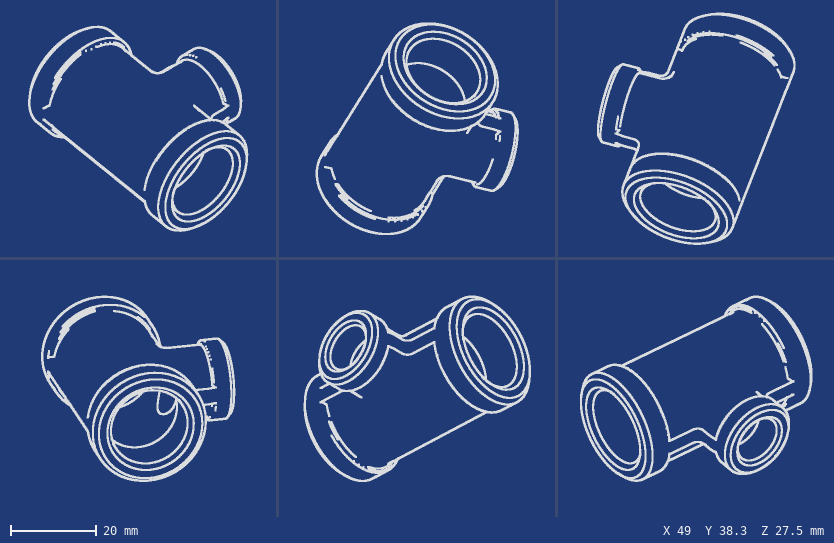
import cadquery as cq

run_length = 49.0
overall_depth = 38.25

run_band_diameter = 27.5
run_body_diameter = 24.9
run_band_length = 6.45
run_thread_diameter = 18.6
run_mouth_diameter = 20.95
run_core_diameter = 21.8
run_thread_length = 11.02
run_rim_chamfer = 1.2

collar_diameter = 19.0
branch_body_diameter = 17.0
collar_length = 4.95
branch_thread_diameter = 11.45
branch_mouth_diameter = 13.2
branch_core_diameter = 13.8
branch_thread_length = 7.65
collar_rim_chamfer = 1.0

rib_thickness = 4.0
branch_rib_diameter = 19.45
branch_rib_taper_length = 1.6

body_crotch_radius = 3.0
rib_crotch_radius = 1.75
edge_radius = 0.35

contact_tolerance = 0.0005

half_run = run_length / 2
branch_reach = overall_depth - run_band_diameter / 2
band_inner_face = half_run - run_band_length
collar_inner_face = branch_reach - collar_length


def run_cylinder(diameter, length):
    """Cylinder along X, centred on the origin."""
    return cq.Workplane("YZ").circle(diameter / 2).extrude(length / 2, both=True)


def branch_cylinder(diameter, start, end):
    """Cylinder along Y between two distances from the run axis."""
    return cq.Workplane("XZ", origin=(0, start, 0)).circle(diameter / 2).extrude(start - end)


def touches(edge, solid):
    """True when the middle of an edge lies on a solid."""
    middle = cq.Vertex.makeVertex(*edge.positionAt(0.5).toTuple())
    return middle.distance(solid.val()) < contact_tolerance


def blend_crotch(run, branch, radius):
    """Join run and branch, rounding the closed curve where they meet."""
    joined = run.union(branch)
    crotch = joined.edges().filter(lambda edge: touches(edge, run) and touches(edge, branch))
    return crotch.fillet(radius)


def body():
    """Plain tee whose ends stop halfway inside the bands and the collar."""
    run = run_cylinder(run_body_diameter, run_length - run_band_length)
    branch = branch_cylinder(branch_body_diameter, 0, branch_reach - collar_length / 2)
    return blend_crotch(run, branch, body_crotch_radius)


def ribs():
    """Slab cut from a larger tee: run ribs flush with the bands, branch ribs tapering to the collar."""
    branch = (
        cq.Workplane("XY")
        .lineTo(branch_rib_diameter / 2, 0)
        .lineTo(branch_rib_diameter / 2, collar_inner_face - branch_rib_taper_length)
        .lineTo(collar_diameter / 2, collar_inner_face)
        .lineTo(collar_diameter / 2, collar_inner_face + edge_radius)
        .lineTo(0, collar_inner_face + edge_radius)
        .close()
        .revolve(360, (0, 0, 0), (0, 1, 0))
    )
    run = run_cylinder(run_band_diameter, 2 * (band_inner_face + edge_radius))
    tee = blend_crotch(run, branch, rib_crotch_radius)
    slab = cq.Workplane("XY").box(2 * run_length, 2 * run_length, rib_thickness)
    return tee.intersect(slab).edges("|X").edges("<Y").fillet(edge_radius)


def bands():
    inner_plane = cq.Workplane("YZ", origin=(band_inner_face, 0, 0))
    blank = inner_plane.circle(run_band_diameter / 2).extrude(run_band_length)
    band = blank.faces(">X").chamfer(run_rim_chamfer).faces("<X").edges().fillet(edge_radius)
    return band.union(band.mirror("YZ"))


def collar():
    blank = branch_cylinder(collar_diameter, collar_inner_face, branch_reach)
    return blank.faces(">Y").chamfer(collar_rim_chamfer).faces("<Y").edges().fillet(edge_radius)


def outside():
    """Body with its ribs, bands and collar, rounded along the foot where they rise from the body."""
    core = body()
    raised = ribs().union(bands()).union(collar())
    joined = core.union(raised)
    foot = joined.edges().filter(lambda edge: touches(edge, core) and touches(edge, raised))
    return foot.fillet(edge_radius)


def bore(thread_diameter, mouth_diameter, core_diameter, thread_length, end):
    """Bore along +Z ending at a height: wide core, threaded length and 45 degree mouth."""
    thread_start = end - thread_length
    mouth_depth = (mouth_diameter - thread_diameter) / 2
    return (
        cq.Workplane("XZ")
        .lineTo(core_diameter / 2, 0)
        .lineTo(core_diameter / 2, thread_start)
        .lineTo(thread_diameter / 2, thread_start)
        .lineTo(thread_diameter / 2, end - mouth_depth)
        .lineTo(mouth_diameter / 2, end)
        .lineTo(0, end)
        .close()
        .revolve(360, (0, 0, 0), (0, 1, 0))
    )


def bores():
    run_bore = bore(run_thread_diameter, run_mouth_diameter, run_core_diameter, run_thread_length, half_run)
    branch_bore = bore(
        branch_thread_diameter, branch_mouth_diameter, branch_core_diameter, branch_thread_length, branch_reach
    )
    right_bore = run_bore.rotate((0, 0, 0), (0, 1, 0), 90)
    left_bore = run_bore.rotate((0, 0, 0), (0, 1, 0), -90)
    return right_bore.union(left_bore).union(branch_bore.rotate((0, 0, 0), (1, 0, 0), -90))


result = outside().cut(bores())